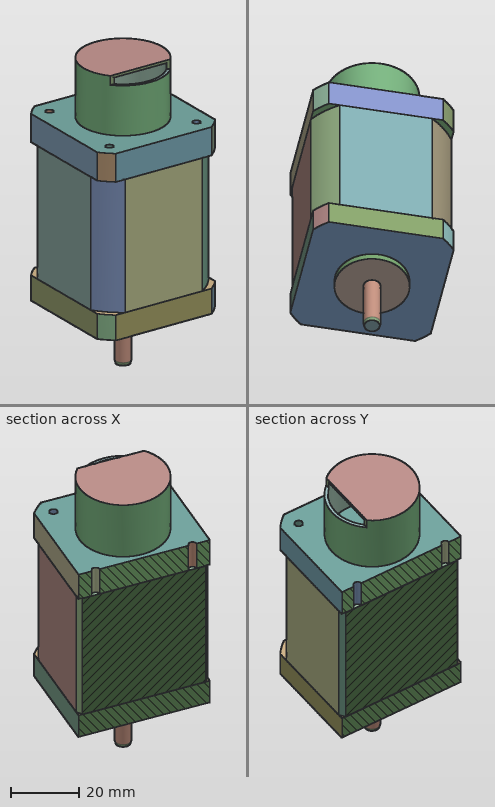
import cadquery as cq

side = 42.0
flange_corner_radius = 27.1
body_corner_radius = 25.1

shaft_tip_z = 0.0
pilot_bottom_z = 16.9
front_flange_bottom_z = 19.0
body_bottom_z = 27.1
body_top_z = 69.7
rear_flange_top_z = 78.7
cover_top_z = 97.7

shaft_radius = 2.5
shaft_tip_radius = 2.2
shaft_tip_length = 1.2
pilot_radius = 11.0

hole_spacing = 31.0
hole_diameter = 2.4

cover_radius = 14.0
cover_wall = 1.1
cover_cap_thickness = 0.9
notch_x = 9.0
notch_depth = 2.9


def cylinder(radius, bottom_z, top_z):
    """Upright cylinder on the motor axis."""
    return cq.Workplane("XY").workplane(offset=bottom_z).circle(radius).extrude(top_z - bottom_z)


def square_block(corner_radius, bottom_z, top_z):
    """Square block whose corners are rounded by a circle about the motor axis."""
    height = top_z - bottom_z
    block = cq.Workplane("XY").workplane(offset=bottom_z).rect(side, side).extrude(height)
    return block.intersect(cylinder(corner_radius, bottom_z, top_z))


def make_shaft():
    """Output shaft with a tapered tip, seated against the pilot boss."""
    half_profile = [
        (0, shaft_tip_z),
        (shaft_tip_radius, shaft_tip_z),
        (shaft_radius, shaft_tip_z + shaft_tip_length),
        (shaft_radius, pilot_bottom_z),
        (0, pilot_bottom_z),
    ]
    return cq.Workplane("XZ").polyline(half_profile).close().revolve(360, (0, 0), (0, 1))


def make_front_flange():
    """Lower flange with its round pilot boss."""
    plate = square_block(flange_corner_radius, front_flange_bottom_z, body_bottom_z)
    pilot = cylinder(pilot_radius, pilot_bottom_z, front_flange_bottom_z)
    return plate.union(pilot)


def make_motor_body():
    """Plain block between the two flanges."""
    return square_block(body_corner_radius, body_bottom_z, body_top_z)


def make_rear_flange():
    """Upper flange with a screw hole through each corner."""
    plate = square_block(flange_corner_radius, body_top_z, rear_flange_top_z)
    holes = (
        cq.Workplane("XY")
        .workplane(offset=body_top_z)
        .rect(hole_spacing, hole_spacing, forConstruction=True)
        .vertices()
        .circle(hole_diameter / 2)
        .extrude(rear_flange_top_z - body_top_z)
    )
    return plate.cut(holes)


def make_encoder_cover():
    """Hollow round cap, open at its base and notched along its +X top edge."""
    shell = cylinder(cover_radius, rear_flange_top_z, cover_top_z)
    cavity = cylinder(cover_radius - cover_wall, rear_flange_top_z, cover_top_z - cover_cap_thickness)
    notch = cq.Workplane("XY").box(cover_radius, 2 * cover_radius, notch_depth, centered=(False, True, False))
    notch = notch.translate((notch_x, 0, cover_top_z - notch_depth))
    return shell.cut(cavity).cut(notch)


shaft = make_shaft()
front_flange = make_front_flange()
motor_body = make_motor_body()
rear_flange = make_rear_flange()
encoder_cover = make_encoder_cover()

result = cq.Compound.makeCompound([
    shaft.val(),
    front_flange.val(),
    motor_body.val(),
    rear_flange.val(),
    encoder_cover.val(),
])